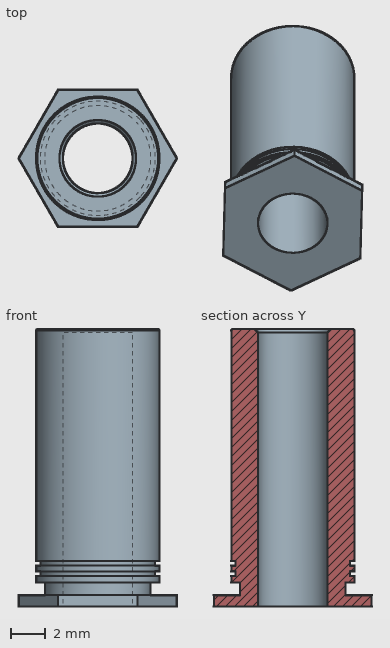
import cadquery as cq
import math

total_height = 16.0
hex_across_flats = 7.9
hex_thickness = 0.67

barrel_diameter = 7.12
neck_diameter = 6.1
neck_top = 1.4
barrel_chamfer = 0.08
bore_diameter = 4.0
bore_chamfer = 0.2

groove_diameter = 6.6
groove_width = 0.25
groove_pitch = 0.6
first_groove_bottom = 1.78
groove_count = 2


def ring(outer_diameter, inner_diameter, bottom, height):
    """Flat ring around the Z axis."""
    return (
        cq.Workplane("XY")
        .workplane(offset=bottom)
        .circle(outer_diameter / 2)
        .circle(inner_diameter / 2)
        .extrude(height)
    )


hex_across_corners = hex_across_flats / math.cos(math.pi / 6)
flange = cq.Workplane("XY").polygon(6, hex_across_corners).extrude(hex_thickness)

neck = cq.Workplane("XY").circle(neck_diameter / 2).extrude(neck_top)

barrel = (
    cq.Workplane("XY")
    .workplane(offset=neck_top)
    .circle(barrel_diameter / 2)
    .extrude(total_height - neck_top)
    .faces(">Z")
    .edges()
    .chamfer(barrel_chamfer)
)

for index in range(groove_count):
    groove_bottom = first_groove_bottom + index * groove_pitch
    barrel = barrel.cut(ring(barrel_diameter, groove_diameter, groove_bottom, groove_width))

body = flange.union(neck).union(barrel)

bore = cq.Workplane("XY").circle(bore_diameter / 2).extrude(total_height)
result = (
    body.cut(bore)
    .faces(">Z")
    .edges(cq.selectors.RadiusNthSelector(0))
    .chamfer(bore_chamfer)
)